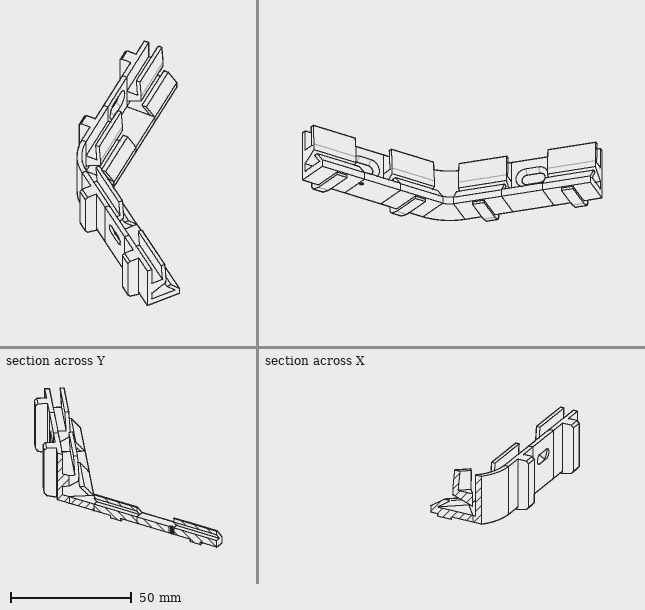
import cadquery as cq
interior_angle = 127.5
bend_radius = 20.0
depth = 15.0
end_length = 21.0
mid_length = 18.0
wall_thickness = 2.0
wall_height = 22.1
base_height = 3.3
hook_height = 7.6

heel_height = 3.0
hook_back_run = 3.9
hook_inner_top = 9.0
hook_inner_foot = 12.8
bracket_root = 6.7
bracket_tip = 10.5
channel_floor = 13.2
lip_inner_foot = 7.0
lip_inner_top = 6.4
lip_outer_foot = 8.7
lip_outer_top = 8.1

rib_width = 5.1
rib_reach = 5.1
strap_drop = 1.1
strap_end = 13.9
rib_chamfer = 1.0
toe_rise = 1.1
knee_drop = 0.2

slot_length = 10.0
slot_width = 4.3
slot_height = 13.9
slot_flare = 45

core_radius = 0.3
core_hole_radius = 0.8
core_from_end = 1.3
core_depth = 10.7

turn = 180 - interior_angle



def extrude_section(points, length, start=0.0):
    """Extrude a (y, z) section along x."""
    section = cq.Workplane("YZ", origin=(start, 0, 0)).polyline(points).close()
    return section.extrude(length)


def stepped_section():
    """Wall standing on a full-depth base."""
    return [
        (0, 0),
        (depth, 0),
        (depth, base_height),
        (wall_thickness, base_height),
        (wall_thickness, wall_height),
        (0, wall_height),
    ]


def hooked_section():
    """Wall with a lipped channel above and a hooked channel below."""
    return [
        (0, 0),
        (depth, 0),
        (depth, heel_height),
        (depth - hook_back_run, hook_height),
        (hook_inner_top, hook_height),
        (hook_inner_foot, base_height),
        (wall_thickness, base_height),
        (wall_thickness, bracket_root),
        (lip_outer_foot, bracket_tip),
        (lip_outer_foot, channel_floor),
        (lip_outer_top, wall_height),
        (lip_inner_top, wall_height),
        (lip_inner_foot, channel_floor),
        (wall_thickness, channel_floor),
        (wall_thickness, wall_height),
        (0, wall_height),
    ]


def rib_section():
    """Rib in front of the wall, with its strap under the base."""
    return [
        (0, 0),
        (0, wall_height),
        (rib_chamfer - rib_reach, wall_height),
        (-rib_reach, wall_height - rib_chamfer),
        (-rib_reach, toe_rise),
        (rib_chamfer - rib_reach, -knee_drop),
        (0, -strap_drop),
        (strap_end, -strap_drop),
        (strap_end, 0),
    ]


def make_end_piece():
    """Hooked length with one rib at its middle."""
    body = extrude_section(hooked_section(), end_length)
    rib = extrude_section(rib_section(), rib_width, (end_length - rib_width) / 2)
    return body.union(rib)


def make_mid_piece():
    """Plain stepped length with a screw slot that widens inwards through the wall."""
    body = extrude_section(stepped_section(), mid_length)
    slot = (
        cq.Workplane("XZ", origin=(mid_length / 2, 0, slot_height))
        .slot2D(slot_length, slot_width)
        .extrude(-wall_thickness, taper=-slot_flare)
    )
    return body.cut(slot)


def core_cylinder(radius):
    """Cylinder through the base on the core's axis."""
    x = mid_length - core_from_end
    return cq.Workplane("XY").center(x, core_depth).circle(radius).extrude(base_height)


def make_bend():
    """The stepped section swept round the bend axis, which is the Z axis."""
    points = [(bend_radius - y, z) for y, z in stepped_section()]
    bend = cq.Workplane("XZ").polyline(points).close().revolve(turn, (0, 0, 0), (0, 1, 0))
    return bend.rotate((0, 0, 0), (0, 0, 1), -90 - turn)


def on_right_arm(piece, start):
    """Place a piece at a distance from the bend, along the arm that runs towards +X."""
    return piece.translate((start, -bend_radius, 0))


def on_left_arm(piece, length, start):
    """Place a piece at a distance from the bend, along the arm that turns off."""
    return piece.translate((-start - length, -bend_radius, 0)).rotate((0, 0, 0), (0, 0, 1), -turn)


end_starts = [0, end_length + mid_length]
end_pieces = []
for start in end_starts:
    end_pieces.append(on_right_arm(make_end_piece(), start))
    end_pieces.append(on_left_arm(make_end_piece(), end_length, start))

drilled_mid_piece = on_right_arm(make_mid_piece().cut(core_cylinder(core_hole_radius)), end_length)
plain_mid_piece = on_left_arm(make_mid_piece(), mid_length, end_length)
core = on_right_arm(core_cylinder(core_radius), end_length)
bend = make_bend()

result = cq.Compound.makeCompound(
    [
        bend.val(),
        *[piece.val() for piece in end_pieces],
        drilled_mid_piece.val(),
        plain_mid_piece.val(),
        core.val(),
    ]
)